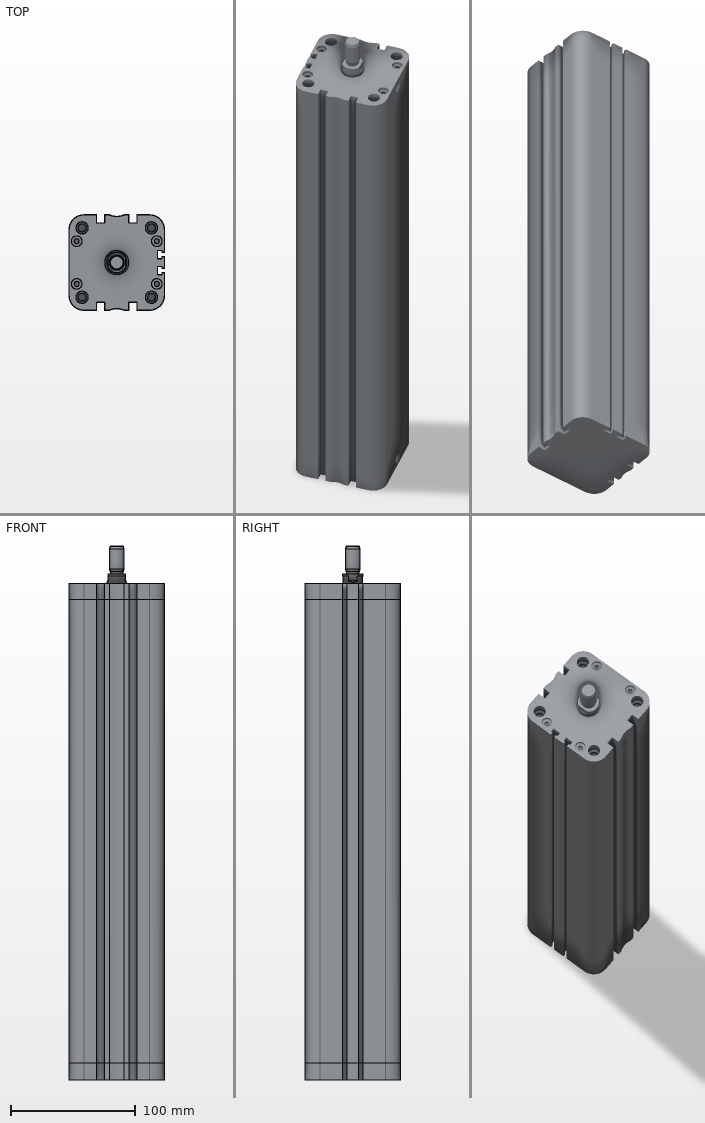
import cadquery as cq


total_height = 429.0
side = 77.0
corner_radius = 12.0
body_height = 399.0
rear_cap_height = 13.7
front_cap_height = 13.0
half_side = side / 2

slot_width = 6.5
slot_depth = 6.5
slot_offset = 13.0
hollow_width = 12.0
hollow_depth = 1.5

groove_offset = 6.5
groove_mouth_width = 3.5
groove_mouth_depth = 2.0
groove_inner_width = 6.5
groove_depth = 5.5

screw_offset = 28.0
screw_head_diameter = 10.0
screw_head_depth = 8.5
screw_diameter = 6.5

recess_x = 32.0
recess_y = 17.0
recess_diameter = 8.5
recess_depth = 2.0
recess_hole_diameter = 4.0
recess_hole_depth = 4.5

port_diameter = 8.5
port_mouth_diameter = 10.5
port_depth = 8.5
front_port_drop = 7.0
rear_port_height = 7.5
air_passage_diameter = 4.0
air_passage_depth = 13.0

rod_diameter = 16.0
collar_diameter = 16.7
collar_height = 1.7
thread_diameter = 12.0
thread_end_chamfer = 2.5
thread_foot_chamfer = 2.0
neck_diameter = 10.5
neck_height = 1.7
shoulder_z = 406.5
flat_gap = 14.0
flat_bottom_z = 401.0
ramp_height = 1.5
rod_recess_diameter = 19.5
rod_recess_depth = 2.0

front_cap_z = body_height - front_cap_height


def block(x_range, y_range, height):
    """Box between two X limits and two Y limits, standing on z = 0."""
    x0, x1 = x_range
    y0, y1 = y_range
    return cq.Workplane("XY").box(x1 - x0, y1 - y0, height, centered=False).translate((x0, y0, 0))


def profile_prism(z, height):
    """Length of the grooved square section that caps and barrel share, from z upward."""
    prism = cq.Workplane("XY").box(side, side, height, centered=(True, True, False))
    prism = prism.edges("|Z").fillet(corner_radius)
    hollow_radius = ((hollow_width / 2) ** 2 + hollow_depth ** 2) / (2 * hollow_depth)
    hollow_y = half_side - hollow_depth + hollow_radius
    for face in (-1, 1):
        hollow = cq.Workplane("XY").center(0, face * hollow_y).circle(hollow_radius).extrude(height)
        prism = prism.cut(hollow)
        for x in (-slot_offset, slot_offset):
            floor = face * (half_side - slot_depth)
            y_range = sorted((floor, face * side))
            prism = prism.cut(block((x - slot_width / 2, x + slot_width / 2), y_range, height))
    for y in (-groove_offset, groove_offset):
        mouth_range = (y - groove_mouth_width / 2, y + groove_mouth_width / 2)
        inner_range = (y - groove_inner_width / 2, y + groove_inner_width / 2)
        floor = half_side - groove_depth
        prism = prism.cut(block((floor, side), mouth_range, height))
        prism = prism.cut(block((floor, half_side - groove_mouth_depth), inner_range, height))
    return prism.translate((0, 0, z))


def port(z):
    """Cutter for an air port in the -X face: blind bore with a chamfered mouth."""
    mouth_radius = port_mouth_diameter / 2
    bore_radius = port_diameter / 2
    chamfer = mouth_radius - bore_radius
    return (
        cq.Workplane("XZ")
        .moveTo(-half_side, 0)
        .lineTo(-half_side, mouth_radius)
        .lineTo(-half_side + chamfer, bore_radius)
        .lineTo(-half_side + port_depth, bore_radius)
        .lineTo(-half_side + port_depth, 0)
        .close()
        .revolve(360, (0, 0, 0), (1, 0, 0))
        .translate((0, 0, z))
    )


def make_rear_cap():
    cap = profile_prism(0, rear_cap_height).cut(port(rear_port_height))
    passage = (
        cq.Workplane("YZ")
        .workplane(offset=-half_side)
        .center(0, rear_port_height)
        .circle(air_passage_diameter / 2)
        .extrude(air_passage_depth)
    )
    return cap.cut(passage)


def make_barrel():
    return profile_prism(rear_cap_height, front_cap_z - rear_cap_height)


def make_front_cap():
    cap = profile_prism(front_cap_z, front_cap_height).cut(port(body_height - front_port_drop))
    top = cq.Workplane("XY").workplane(offset=body_height)
    screw_points = [(x, y) for x in (-screw_offset, screw_offset) for y in (-screw_offset, screw_offset)]
    cap = cap.cut(top.pushPoints(screw_points).circle(screw_head_diameter / 2).extrude(-screw_head_depth))
    cap = cap.cut(top.pushPoints(screw_points).circle(screw_diameter / 2).extrude(-front_cap_height))
    recess_points = [(x, y) for x in (-recess_x, recess_x) for y in (-recess_y, recess_y)]
    cap = cap.cut(top.pushPoints(recess_points).circle(recess_diameter / 2).extrude(-recess_depth))
    cap = cap.cut(top.pushPoints(recess_points).circle(recess_hole_diameter / 2).extrude(-recess_hole_depth))
    cap = cap.cut(top.circle(rod_recess_diameter / 2).extrude(-rod_recess_depth))
    return cap.cut(top.circle(rod_diameter / 2).extrude(-front_cap_height))


def make_rod():
    rod_radius = rod_diameter / 2
    collar_radius = collar_diameter / 2
    thread_radius = thread_diameter / 2
    neck_radius = neck_diameter / 2
    collar_bottom = shoulder_z - collar_height
    neck_top = shoulder_z + neck_height
    rod = (
        cq.Workplane("XZ")
        .moveTo(0, front_cap_z)
        .lineTo(rod_radius, front_cap_z)
        .lineTo(rod_radius, collar_bottom)
        .lineTo(collar_radius, collar_bottom)
        .lineTo(collar_radius, shoulder_z)
        .lineTo(neck_radius, shoulder_z)
        .lineTo(neck_radius, neck_top)
        .lineTo(thread_radius, neck_top + thread_foot_chamfer)
        .lineTo(thread_radius, total_height - thread_end_chamfer)
        .lineTo(neck_radius, total_height)
        .lineTo(0, total_height)
        .close()
        .revolve(360, (0, 0, 0), (0, 1, 0))
    )
    for face in (-1, 1):
        flat = (
            cq.Workplane("XZ")
            .moveTo(face * flat_gap / 2, shoulder_z)
            .lineTo(face * flat_gap / 2, flat_bottom_z)
            .lineTo(face * rod_radius, flat_bottom_z - ramp_height)
            .lineTo(face * rod_diameter, flat_bottom_z - ramp_height)
            .lineTo(face * rod_diameter, shoulder_z)
            .close()
            .extrude(rod_radius * 2, both=True)
        )
        rod = rod.cut(flat)
    return rod


rear_cap = make_rear_cap()
barrel = make_barrel()
front_cap = make_front_cap()
rod = make_rod()

result = cq.Compound.makeCompound([rear_cap.val(), barrel.val(), front_cap.val(), rod.val()])